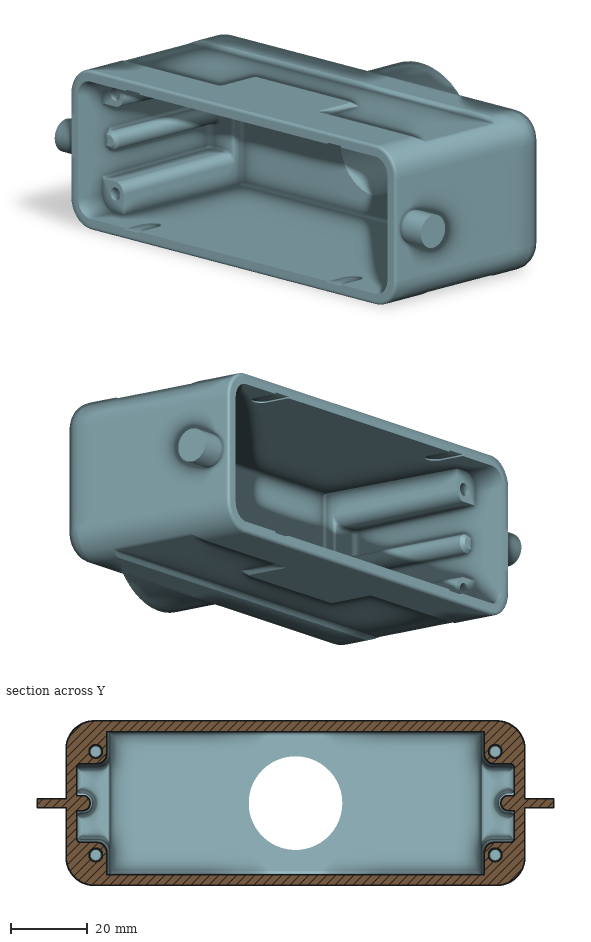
import cadquery as cq
overall_length = 135.0
hood_width = 119.9
hood_height = 43.0
hood_depth = 55.1
corner_radius = 7.5
back_radius = 5.1
rim_radius = 0.8

collar_diameter = 41.0
collar_end = 69.5
collar_edge_radius = 0.5
collar_base_radius = 1.0
bore_diameter = 24.5

wall = 3.0
floor_y = hood_depth - wall
ledge_y = floor_y - 3.4
cavity_radius = 4.5
cavity_floor_radius = 1.0
ledge_radius = 0.8
ledge_wall_radius = 1.6
cavity_width = hood_width - 2 * wall
cavity_height = hood_height - 2 * wall
pocket_width = 96.9

boss_front_y = 8.9
boss_inner_x = pocket_width / 2
boss_inner_z = 9.5
boss_edge_radius = 2.8
boss_draft = 1.0
boss_foot_radius = 0.8
screw_x = 52.1
screw_z = 13.5
screw_mouth_diameter = 3.5
screw_end_diameter = 2.5
screw_depth = 13.5

rib_front_y = 10.1
rib_projection = 3.9
rib_radius = 2.5
rib_tip_chamfer = 1.0

slot_x = 37.1
slot_width = 5.5
slot_length = 9.6
slot_depth = 0.4

pin_diameter = 8.9
pin_y = 6.3

recess_depth = 1.1
recess_slope_run = 1.5
recess_front_y = 14.7
recess_back_y = 40.5
tab_half_width = 19.3
tab_back_y = 27.7
recess_end_radius = 2.0
tab_corner_radius = 1.1


def cylinder_y(diameter, start_y, end_y, x=0, z=0):
    """Cylinder along Y between two Y positions."""
    disc = cq.Workplane("XZ", origin=(x, start_y, z)).circle(diameter / 2)
    return disc.extrude(start_y - end_y)


def mirror_four(solid):
    """The solid and its copies across the X = 0 and Z = 0 planes."""
    pair = solid.union(solid.mirror("YZ"))
    return pair.union(pair.mirror("XY"))


def rounded_block(width, height, depth, radius):
    """Block from Y = 0 backwards with its long edges rounded."""
    block = cq.Workplane("XZ").rect(width, height).extrude(-depth)
    return block.edges("|Y").fillet(radius)


def make_hood():
    """Solid outer body with its collar."""
    hood = rounded_block(hood_width, hood_height, hood_depth, corner_radius)
    hood = hood.faces(">Y").edges().fillet(back_radius)
    hood = hood.faces("<Y").edges().fillet(rim_radius)
    collar = cylinder_y(collar_diameter, floor_y, collar_end)
    hood = hood.union(collar)
    hood = hood.faces(">Y").edges().fillet(collar_edge_radius)
    half = collar_diameter / 2 + 0.1
    base = cq.selectors.BoxSelector((-half, floor_y - 2.0, -half), (half, hood_depth + 0.1, half))
    return hood.edges(base).edges("not %LINE").fillet(collar_base_radius)


def make_boss():
    """One boss, tapering from the ledge towards the open face."""
    outer_x = hood_width / 2 - wall / 2
    outer_z = hood_height / 2 - wall / 2
    boss = (
        cq.Workplane("XZ", origin=(0, floor_y - cavity_floor_radius, 0))
        .moveTo((boss_inner_x + outer_x) / 2, (boss_inner_z + outer_z) / 2)
        .rect(outer_x - boss_inner_x, outer_z - boss_inner_z)
        .extrude(floor_y - cavity_floor_radius - boss_front_y, taper=boss_draft)
    )
    free_edge = cq.selectors.NearestToPointSelector((boss_inner_x, (boss_front_y + floor_y) / 2, boss_inner_z))
    return boss.edges(free_edge).fillet(boss_edge_radius)


def make_screw_hole():
    """Tapered blind hole in the front of one boss."""
    hole = cq.Solid.makeCone(
        screw_mouth_diameter / 2,
        screw_end_diameter / 2,
        screw_depth,
        pnt=cq.Vector(screw_x, boss_front_y, screw_z),
        dir=cq.Vector(0, 1, 0),
    )
    return cq.Workplane(hole)


def make_rib():
    """Half-round rib running from the ledge along the inside of one end wall."""
    center_x = cavity_width / 2 - rib_projection + rib_radius
    rib = cylinder_y(2 * rib_radius, rib_front_y, floor_y, x=center_x)
    web = (
        cq.Workplane("XZ", origin=(center_x, rib_front_y, 0))
        .rect(2 * (rib_projection - rib_radius + wall / 2), 2 * rib_radius)
        .extrude(rib_front_y - floor_y)
    )
    keep = cq.Workplane("XZ").center(center_x + wall, 0).rect(2 * wall, 2 * rib_radius).extrude(-floor_y)
    rib = rib.union(web.intersect(keep))
    return rib.faces("<Y").edges().chamfer(rib_tip_chamfer)


def make_slot():
    """Round-ended slot reaching from the rim into the top wall."""
    outline = (
        cq.Workplane("XY", origin=(slot_x, 0, cavity_height / 2 - slot_depth))
        .moveTo(-slot_width / 2, 0)
        .lineTo(-slot_width / 2, slot_length - slot_width / 2)
        .threePointArc((0, slot_length), (slot_width / 2, slot_length - slot_width / 2))
        .lineTo(slot_width / 2, 0)
        .close()
    )
    return outline.extrude(2 * slot_depth)


def near_ledge(x1, x2):
    """Selector for the edges lying at ledge depth between two X positions."""
    margin = 0.1
    return cq.selectors.BoxSelector(
        (min(x1, x2) - margin, ledge_y - margin, -hood_height),
        (max(x1, x2) + margin, ledge_y + margin, hood_height),
    )


def make_cavity():
    """Main cavity plus the deeper pocket between the end ledges, less the bosses and ribs."""
    cavity = rounded_block(cavity_width, cavity_height, ledge_y, cavity_radius)
    pocket = cq.Workplane("XZ").rect(pocket_width, cavity_height).extrude(-floor_y)
    cavity = cavity.union(pocket)
    cavity = cavity.faces(">Y").edges().fillet(cavity_floor_radius)
    cavity = cavity.edges(near_ledge(-pocket_width / 2, pocket_width / 2)).edges("|Z").fillet(ledge_radius)
    cavity = cavity.cut(mirror_four(make_boss()))
    rib = make_rib()
    cavity = cavity.cut(rib).cut(rib.mirror("YZ"))
    end_x = cavity_width / 2
    for side in (-1, 1):
        wall_edges = cavity.edges(near_ledge(side * end_x, side * end_x))
        cavity = wall_edges.fillet(ledge_wall_radius)
        foot_edges = cavity.edges(near_ledge(side * (boss_inner_x + 2 * ledge_radius), side * end_x))
        cavity = foot_edges.fillet(boss_foot_radius)
    return cavity


def make_recess():
    """Label recess in the top face: sloped walls around a flat floor, less the tab."""
    top = hood_height / 2
    bottom = top - recess_depth
    half = hood_width / 2

    def section(grow, z):
        return (
            cq.Workplane("XY", origin=(0, 0, z))
            .moveTo(-half, recess_front_y - grow)
            .lineTo(-tab_half_width + grow, recess_front_y - grow)
            .lineTo(-tab_half_width + grow, tab_back_y - grow)
            .lineTo(tab_half_width - grow, tab_back_y - grow)
            .lineTo(tab_half_width - grow, recess_front_y - grow)
            .lineTo(half, recess_front_y - grow)
            .lineTo(half, recess_back_y + grow)
            .lineTo(-half, recess_back_y + grow)
            .close()
            .wire()
            .val()
        )

    sections = [section(0, bottom), section(recess_slope_run, top)]
    recess = cq.Workplane(cq.Solid.makeLoft(sections, True))
    tab_corners = cq.selectors.BoxSelector(
        (-hood_width / 4, 0, bottom), (hood_width / 4, recess_back_y, top)
    )
    slanted = recess.edges(tab_corners).edges("not (#Z)")
    return slanted.fillet(tab_corner_radius)


def round_recess_ends(hood):
    """Soften the edges where the recess floors run out through the rounded corners."""
    for side in (-1, 1):
        floor_z = side * (hood_height / 2 - recess_depth)
        band = cq.selectors.BoxSelector(
            (-hood_width, recess_front_y, floor_z - 0.01), (hood_width, recess_back_y, floor_z + 0.01)
        )
        ends = hood.edges("|Y").edges(band).edges("<X or >X")
        hood = ends.fillet(recess_end_radius)
    return hood


def make_pin():
    """Locking pin standing out of the +X end wall."""
    pin = cq.Workplane("YZ", origin=(hood_width / 2 - wall / 2, pin_y, 0)).circle(pin_diameter / 2)
    return pin.extrude((overall_length - hood_width + wall) / 2)


hood = make_hood()
recess = make_recess()
hood = round_recess_ends(hood.cut(recess).cut(recess.mirror("XY")))
hood = hood.cut(make_cavity()).cut(mirror_four(make_slot())).cut(mirror_four(make_screw_hole()))
hood = hood.cut(cylinder_y(bore_diameter, floor_y - 1.4, collar_end))
pin = make_pin()
result = hood.union(pin).union(pin.mirror("YZ"))